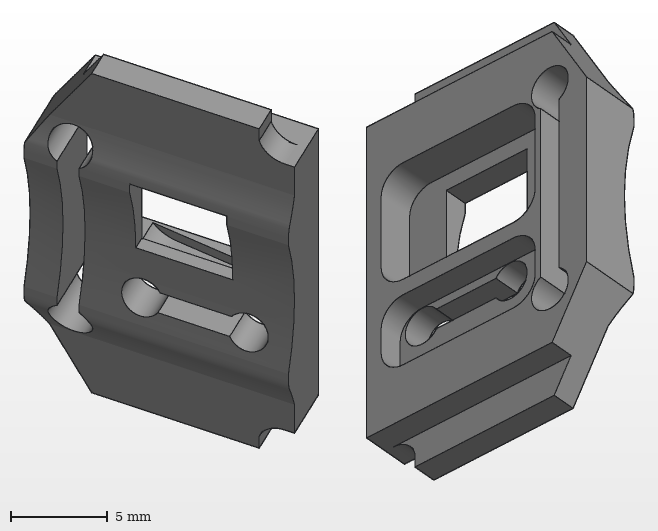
import cadquery as cq
import math


width = 15.0
height = 24.0
front_land_y = 0.75
plate_back_y = 2.25
back_y = 3.75
block_height = 20.0
bevel_run = 3.5
bevel_angle = 60.0
notch_width = 2.0
notch_depth = (height - block_height) / 2
notch_radius = 1.5
notch_arc_run = 1.45
notch_arc_rise = 1.12

valley_radius = 16.0
crest_outer_z = 5.4
crest_radius = 2.0
shoulder_z = 6.2
ridge_foot_z = 7.86

tall_slot_x = 2.5
tall_slot_width = 1.25
tall_slot_end_z = 6.5
tall_slot_end_radius = 1.25

short_slot_start_x = 6.5
short_slot_end_x = 12.5
short_slot_z = -3.175
short_slot_width = 1.25
short_slot_end_radius = 1.15

window_x = 6.0
window_size = 5.5
recess_margin_x = 2.5
recess_margin_z = 1.0
recess_front_y = 1.5
recess_corner_radius = 1.5

undercut_drop = 0.6
undercut_inset = 1.6
undercut_corner_radius = 2.0
undercut_mid_y = 3.26
undercut_slant = 6.3

slot_recess_top_z = -2.0
slot_recess_bottom_z = -6.5


def extrude_back(outline, start_y, end_y):
    """Extrude an outline drawn in X and Z from start_y to end_y."""
    return outline.extrude(start_y - end_y).translate((0, start_y, 0))


def box(x_min, x_max, y_min, y_max, z_min, z_max):
    """Box between the given limits."""
    size = (x_max - x_min, y_max - y_min, z_max - z_min)
    return cq.Workplane("XY").box(*size, centered=False).translate((x_min, y_min, z_min))


def rounded_pocket(x_min, x_max, y_min, y_max, z_min, z_max, radius):
    """Box with its four edges along Y rounded."""
    return box(x_min, x_max, y_min, y_max, z_min, z_max).edges("|Y").fillet(radius)


def ridged_body():
    """Body with the ridged front and the stepped back, extruded across the width."""
    top_z = height / 2
    step_z = block_height / 2
    valley_half = math.sqrt(valley_radius**2 - (valley_radius - front_land_y) ** 2)
    crest_angle = math.asin((shoulder_z - crest_outer_z) / crest_radius)
    shoulder_y = crest_radius * (1 - math.cos(crest_angle))
    half_angle = crest_angle / 2
    crest_mid_y = crest_radius * (1 - math.cos(half_angle))
    crest_mid_z = crest_outer_z + crest_radius * math.sin(half_angle)

    chord_y = front_land_y - shoulder_y
    chord_z = ridge_foot_z - shoulder_z
    chord_angle = math.atan2(chord_y, chord_z)
    flank_sweep = 2 * (crest_angle - chord_angle)
    flank_sag = math.hypot(chord_y, chord_z) / 2 * math.tan(flank_sweep / 4)
    flank_mid_y = shoulder_y + chord_y / 2 + flank_sag * math.cos(chord_angle)
    flank_mid_z = shoulder_z + chord_z / 2 - flank_sag * math.sin(chord_angle)

    return (
        cq.Workplane("YZ")
        .moveTo(0, -valley_half)
        .threePointArc((front_land_y, 0), (0, valley_half))
        .lineTo(0, crest_outer_z)
        .threePointArc((crest_mid_y, crest_mid_z), (shoulder_y, shoulder_z))
        .threePointArc((flank_mid_y, flank_mid_z), (front_land_y, ridge_foot_z))
        .lineTo(front_land_y, top_z)
        .lineTo(plate_back_y, top_z)
        .lineTo(plate_back_y, step_z)
        .lineTo(back_y, step_z)
        .lineTo(back_y, -step_z)
        .lineTo(plate_back_y, -step_z)
        .lineTo(plate_back_y, -top_z)
        .lineTo(front_land_y, -top_z)
        .lineTo(front_land_y, -ridge_foot_z)
        .threePointArc((flank_mid_y, -flank_mid_z), (shoulder_y, -shoulder_z))
        .threePointArc((crest_mid_y, -crest_mid_z), (0, -crest_outer_z))
        .close()
        .extrude(width)
    )


def outline_prism():
    """Prism along Y with bevelled left corners and rounded notches at the right corners."""
    top_z = height / 2
    bevel_end_z = top_z - bevel_run * math.tan(math.radians(bevel_angle))
    notch_x = width - notch_width
    notch_z = top_z - notch_depth
    outline = (
        cq.Workplane("XZ")
        .moveTo(0, -bevel_end_z)
        .lineTo(0, bevel_end_z)
        .lineTo(bevel_run, top_z)
        .lineTo(notch_x, top_z)
        .lineTo(notch_x, notch_z + notch_arc_rise)
        .radiusArc((notch_x + notch_arc_run, notch_z), -notch_radius)
        .lineTo(width, notch_z)
        .lineTo(width, -notch_z)
        .lineTo(notch_x + notch_arc_run, -notch_z)
        .radiusArc((notch_x, -notch_z - notch_arc_rise), -notch_radius)
        .lineTo(notch_x, -top_z)
        .lineTo(bevel_run, -top_z)
        .close()
    )
    return extrude_back(outline, 0, back_y)


def keyhole_slot(start, end, slot_width, end_radius):
    """Cutter for a slot between two (x, z) points with a larger round hole at each end."""
    length = math.dist(start, end)
    angle = math.degrees(math.atan2(end[1] - start[1], end[0] - start[0]))
    middle = ((start[0] + end[0]) / 2, (start[1] + end[1]) / 2)
    slot = cq.Workplane("XZ").center(*middle).transformed(rotate=(0, 0, angle)).rect(length, slot_width)
    holes = cq.Workplane("XZ").pushPoints([start, end]).circle(end_radius)
    return extrude_back(slot, 0, back_y).union(extrude_back(holes, 0, back_y))


def window_cut():
    """Square window, the rounded recess behind it and the undercut in the recess floor."""
    window_end_x = window_x + window_size
    window_middle_x = window_x + window_size / 2
    recess_left = window_x - recess_margin_x
    recess_right = window_end_x + recess_margin_x
    recess_top = window_size + recess_margin_z
    window = box(window_x, window_end_x, 0, back_y, 0, window_size)
    recess = rounded_pocket(
        recess_left,
        recess_right,
        recess_front_y,
        back_y,
        -recess_margin_z,
        recess_top,
        recess_corner_radius,
    )
    undercut = rounded_pocket(
        recess_left + undercut_inset,
        recess_right - undercut_inset,
        recess_front_y,
        back_y,
        -recess_margin_z - undercut_drop,
        window_size,
        undercut_corner_radius,
    )
    behind_slant = (
        box(-width, width, 0, back_y, -height, height)
        .rotate((0, 0, 0), (0, 0, 1), -undercut_slant)
        .translate((window_middle_x, undercut_mid_y, 0))
    )
    return window.union(recess).union(undercut.cut(behind_slant))


def short_slot_recess():
    """Recess in the back of the block, around the short slot."""
    return rounded_pocket(
        window_x - recess_margin_x,
        window_x + window_size + recess_margin_x,
        plate_back_y,
        back_y,
        slot_recess_bottom_z,
        slot_recess_top_z,
        recess_corner_radius,
    )


tall_slot = keyhole_slot(
    (tall_slot_x, -tall_slot_end_z),
    (tall_slot_x, tall_slot_end_z),
    tall_slot_width,
    tall_slot_end_radius,
)
short_slot = keyhole_slot(
    (short_slot_start_x, short_slot_z),
    (short_slot_end_x, short_slot_z),
    short_slot_width,
    short_slot_end_radius,
)

body = ridged_body().intersect(outline_prism())
result = body.cut(tall_slot).cut(short_slot).cut(window_cut()).cut(short_slot_recess())